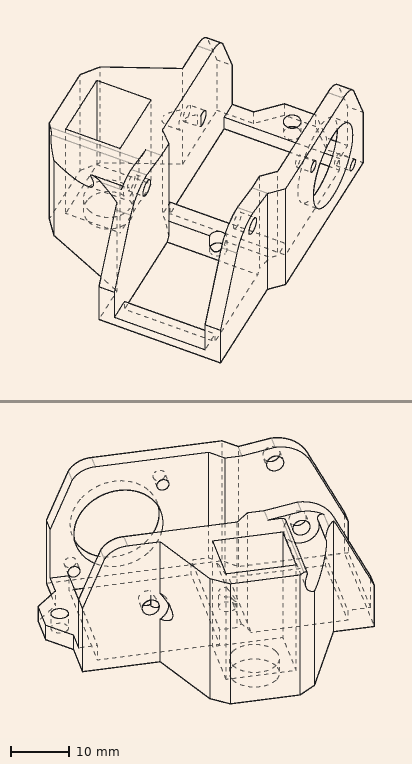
import cadquery as cq
import math

width = 43.2
length = 56.0
mid_x = 29.25
wall = 2.95
top_z = 24.9
cut_margin = 2.8

rear_half = width - mid_x
rear_inner_half = rear_half - wall
rear_y = 52.0
rear_bar_front_y = 48.7
bar_height = 3.0
step_inner_y = 24.1
step_outer_y = 21.05
rear_edge_z = 13.1
rear_round_start = (48.15, 22.75)
rear_round_mid = (46.65, 24.25)
rear_round_end_y = 44.1

front_half = 11.6
front_inner_half = front_half - wall
step_run = rear_half - front_half
front_bar_depth = 4.05
front_bar_height = 2.0
front_edge_z = 8.5

pivot_y = 12.9
pivot_z = 22.45
peak_z = 25.8
nose_radius = 7.05
nose_z = peak_z - nose_radius
ramp_y = 18.75
hole_radius = 1.5

mid_bar_back_y = 27.15
mid_bar_crease_y = 23.1
mid_bar_front_y = 21.05

tab_root_half = 6.95
tab_tip_half = 2.95
tab_hole_y = 52.85

pocket_x = 8.35
pocket_y = 23.3
pocket_size = (10.35, 12.4)
pocket_floor_z = bar_height
bore_radius = 4.3
block_end_half = 6.15
block_corner_x = 2.35
block_corner_half = 9.25
block_root_half = 16.1

groove_radius = 3.15
lip_radius = 0.7

motor_y = 40.0
motor_z = 11.55
motor_radius = 7.85
bolt_offset = 7.85
bolt_radius = 1.05


def box(x0, x1, y0, y1, z0, z1):
    return cq.Workplane("XY").box(x1 - x0, y1 - y0, z1 - z0, centered=False).translate((x0, y0, z0))


def rod(y, z, radius, x0, x1):
    """Cylinder along X."""
    return cq.Workplane("YZ", origin=(x0, 0, 0)).center(y, z).circle(radius).extrude(x1 - x0)


def upright(x, y, radius, z0):
    """Upward cutting cylinder that starts at height z0."""
    return cq.Workplane("XY", origin=(x, y, z0)).circle(radius).extrude(peak_z)


def side_profile():
    """Side outline shared by the plates and the block, as wide as the part."""
    to_edge_z = front_edge_z - nose_z
    distance = math.hypot(pivot_y, to_edge_z)
    angle = math.atan2(to_edge_z, -pivot_y) - math.acos(nose_radius / distance)
    half_angle = (math.pi / 2 + angle % (2 * math.pi)) / 2

    def on_nose(a):
        return (pivot_y + nose_radius * math.cos(a), nose_z + nose_radius * math.sin(a))

    return (
        cq.Workplane("YZ")
        .moveTo(0, 0)
        .lineTo(0, front_edge_z)
        .lineTo(*on_nose(angle))
        .threePointArc(on_nose(half_angle), (pivot_y, peak_z))
        .lineTo(ramp_y, top_z)
        .lineTo(rear_round_end_y, top_z)
        .threePointArc(rear_round_mid, rear_round_start)
        .lineTo(rear_y, rear_edge_z)
        .lineTo(rear_y, 0)
        .close()
        .extrude(width)
    )


def side_plate(side):
    """Cranked plate; side is -1 for left and 1 for right."""
    outline = [
        (rear_half, rear_y),
        (rear_half, step_outer_y),
        (front_half, step_outer_y - step_run),
        (front_half, 0),
        (front_inner_half, 0),
        (front_inner_half, step_inner_y - step_run),
        (rear_inner_half, step_inner_y),
        (rear_inner_half, rear_y),
    ]
    points = [(mid_x + side * x, y) for x, y in outline]
    return cq.Workplane("XY").polyline(points).close().extrude(peak_z)


def side_block():
    root_x = mid_x - front_half
    inner_x = mid_x - front_inner_half
    points = [
        (root_x, pocket_y + block_root_half),
        (block_corner_x, pocket_y + block_corner_half),
        (0, pocket_y + block_end_half),
        (0, pocket_y - block_end_half),
        (block_corner_x, pocket_y - block_corner_half),
        (root_x, pocket_y - block_root_half),
        (inner_x, pocket_y - block_root_half),
        (inner_x, step_inner_y - step_run),
        (mid_x - rear_inner_half, step_inner_y),
        (mid_x - rear_inner_half, pocket_y + block_root_half),
    ]
    block = cq.Workplane("XY").polyline(points).close().extrude(top_z)
    pocket = (
        cq.Workplane("XY", origin=(pocket_x, pocket_y, pocket_floor_z)).rect(*pocket_size).extrude(top_z)
    )
    return block.cut(pocket).cut(upright(pocket_x, pocket_y, bore_radius, -cut_margin))


def groove():
    """Open groove beside the left plate; both lips are tangent to the surface around it."""
    end_x = mid_x - front_half
    reach = groove_radius + lip_radius
    rear_lip_z = top_z - lip_radius
    rear_lip_y = pivot_y + math.sqrt(reach**2 - (rear_lip_z - pivot_z) ** 2)
    rise = pivot_z - nose_z
    front_lip_dz = ((nose_radius - lip_radius) ** 2 - reach**2 - rise**2) / (2 * rise)
    front_lip_y = pivot_y - math.sqrt(reach**2 - front_lip_dz**2)
    front_lip_z = pivot_z + front_lip_dz
    mouth_scale = (peak_z - nose_z) / (front_lip_z - nose_z)
    mouth_y = pivot_y + mouth_scale * (front_lip_y - pivot_y)
    mouth = (
        cq.Workplane("YZ")
        .polyline(
            [
                (pivot_y, pivot_z),
                (rear_lip_y, rear_lip_z),
                (rear_lip_y, peak_z),
                (mouth_y, peak_z),
                (front_lip_y, front_lip_z),
            ]
        )
        .close()
        .extrude(end_x)
    )
    cutter = mouth.union(rod(pivot_y, pivot_z, groove_radius, 0, end_x))
    for y, z in ((rear_lip_y, rear_lip_z), (front_lip_y, front_lip_z)):
        cutter = cutter.cut(rod(y, z, lip_radius, 0, end_x))
    return cutter


def middle_bar():
    bar = (
        cq.Workplane("YZ", origin=(mid_x - rear_half, 0, 0))
        .polyline(
            [
                (mid_bar_back_y, 0),
                (mid_bar_back_y, bar_height),
                (mid_bar_crease_y, bar_height),
                (mid_bar_front_y, 0),
            ]
        )
        .close()
        .extrude(2 * rear_half)
    )
    between = box(
        mid_x - rear_inner_half, mid_x + rear_inner_half, mid_bar_front_y, mid_bar_back_y, 0, bar_height
    )
    return bar.intersect(between)


def rear_bar():
    half_points = [
        (rear_inner_half, rear_bar_front_y),
        (rear_inner_half, rear_y),
        (tab_root_half, rear_y),
        (tab_tip_half, length),
    ]
    points = [(mid_x + x, y) for x, y in half_points]
    points += [(mid_x - x, y) for x, y in reversed(half_points)]
    return cq.Workplane("XY").polyline(points).close().extrude(bar_height)


left_plate = side_plate(-1).cut(rod(motor_y, motor_z, hole_radius, 0, mid_x))

block = side_block().cut(groove())
block = block.cut(rod(motor_y, motor_z, groove_radius, 0, mid_x - rear_half))
body = left_plate.union(side_plate(1)).union(block).intersect(side_profile())

front_bar = box(
    mid_x - front_inner_half, mid_x + front_inner_half, 0, front_bar_depth, 0, front_bar_height
)
body = body.union(front_bar).union(middle_bar()).union(rear_bar())

for y in (tab_hole_y, pocket_y):
    body = body.cut(upright(mid_x, y, hole_radius, -cut_margin))

body = body.cut(rod(pivot_y, pivot_z, hole_radius, 0, width))
body = body.cut(rod(motor_y, motor_z, motor_radius, mid_x, width))

for side in (-1, 1):
    bolt = rod(motor_y + side * bolt_offset, motor_z - side * bolt_offset, bolt_radius, mid_x, width)
    body = body.cut(bolt)

result = body